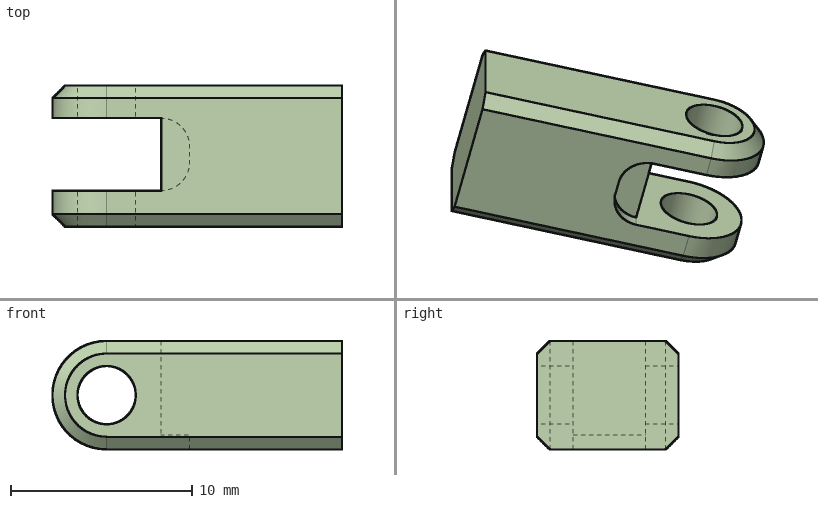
import cadquery as cq

length = 16
width = 7.8
height = 6.0
end_radius = height / 2
edge_chamfer = 0.7

left_cheek = 1.8
right_cheek = 2.0
slot_depth = height
slot_width = width - left_cheek - right_cheek
slot_center_y = (right_cheek - left_cheek) / 2

pin_hole_diameter = 3.2

recess_height = 0.8
recess_corner_radius = 3.17 / 2
recess_end = slot_depth + recess_corner_radius


def make_body():
    """Bar with one half-round end and chamfered side outlines."""
    outline = (
        cq.Workplane("XZ")
        .moveTo(length, -height / 2)
        .lineTo(length, height / 2)
        .lineTo(end_radius, height / 2)
        .threePointArc((0, 0), (end_radius, -height / 2))
        .close()
    )
    body = outline.extrude(width / 2, both=True)
    return body.faces("<Y or >Y").edges("not >X").chamfer(edge_chamfer)


def make_slot():
    """Fork slot running through the full height."""
    return (
        cq.Workplane("XY")
        .center(slot_depth / 2, slot_center_y)
        .rect(slot_depth, slot_width)
        .extrude(height / 2, both=True)
    )


def make_pin_hole():
    """Cross hole through both cheeks, concentric with the round end."""
    return (
        cq.Workplane("XZ")
        .center(end_radius, 0)
        .circle(pin_hole_diameter / 2)
        .extrude(width / 2, both=True)
    )


def make_recess():
    """Underside recess as wide as the slot, with rounded inner corners."""
    return (
        cq.Workplane("XY", origin=(0, 0, -height / 2))
        .center(recess_end / 2, slot_center_y)
        .rect(recess_end, slot_width)
        .extrude(recess_height)
        .edges("|Z and >X")
        .fillet(recess_corner_radius)
    )


result = make_body().cut(make_slot()).cut(make_pin_hole()).cut(make_recess())